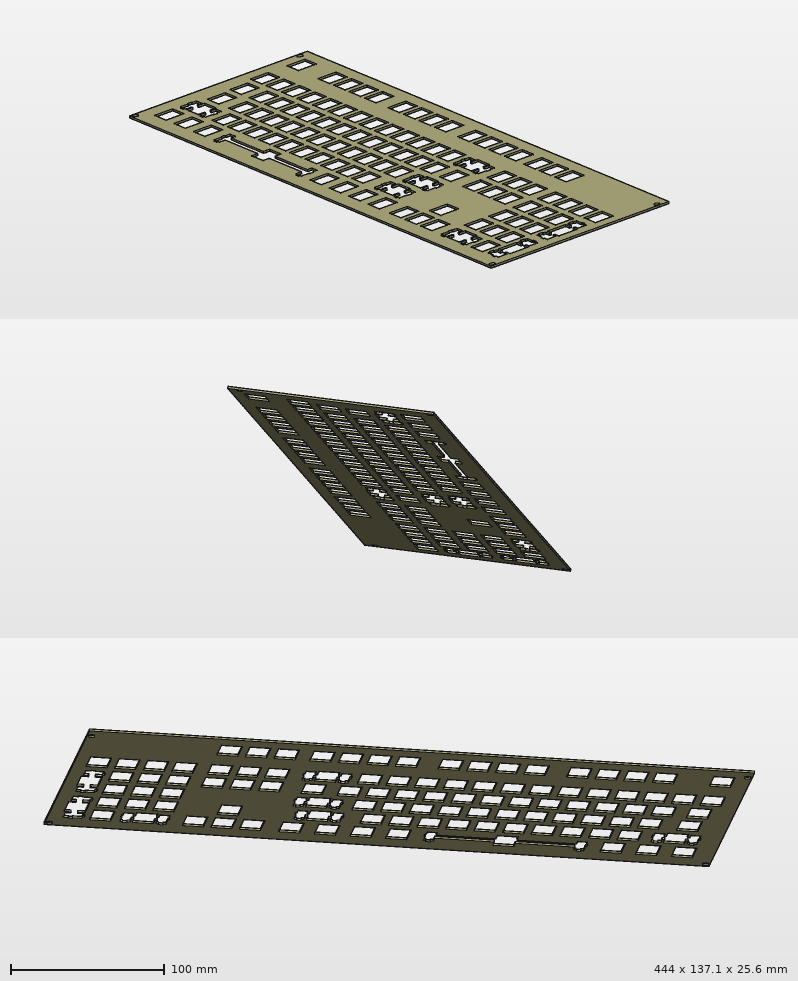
import cadquery as cq

PLATE_WIDTH = 444.0
PLATE_DEPTH = 139.0
PLATE_THICKNESS = 1.5
TILT_ANGLE = 10.0
CUTTER_HEIGHT = 2 * PLATE_THICKNESS

KEY_FIELD_WIDTH = 428.7
KEY_FIELD_UNITS_X = 22.5
KEY_FIELD_UNITS_Y = 6.5
KEY_SHIFT_X = 1.1
KEY_SHIFT_Y = 1.05
KEY_UNIT = KEY_FIELD_WIDTH / KEY_FIELD_UNITS_X
KEY_BORDER = 2.55
SWITCH_HOLE = KEY_UNIT - 2 * KEY_BORDER

STABILISER_WIDTH = 6.5
STABILISER_TOP = 5.8
STABILISER_BOTTOM = -6.5
WIRE_NOTCH_WIDTH = 3.0
WIRE_NOTCH_DEPTH = 1.2
CLIP_NOTCH_HEIGHT = 2.8
CLIP_NOTCH_DEPTH = 0.85
CLIP_NOTCH_CENTRE = 1.0
LINK_SLOT_HEIGHT = 4.5
WIDE_KEY_REACH = 12.0
SPACE_BAR_REACH = 50.0

SCREW_HOLE_DIAMETER = 4.0
SCREW_INSET = 2.97
SCREW_BACK_INSET = 7.5

FUNCTION_ROW = 0.5
NUMBER_ROW = 2.0
TAB_ROW = 3.0
HOME_ROW = 4.0
SHIFT_ROW = 5.0
SPACE_ROW = 6.0

MAIN_BLOCK = 15
BLOCK_GAP = 1 / 4
MODIFIER = 5 / 4
TAB = 3 / 2
CAPS_LOCK = 7 / 4
LEFT_SHIFT = 9 / 4
RIGHT_SHIFT = 11 / 4
ENTER = 9 / 4
BACKSPACE = 2


def run(left, count, width=1):
    """Column centres of a run of neighbouring keys that starts at a left edge."""
    return [left + (i + 1 / 2) * width for i in range(count)]


NAVIGATION = run(MAIN_BLOCK + BLOCK_GAP, 3)
NUMPAD = run(MAIN_BLOCK + 3 + 2 * BLOCK_GAP, 3)
LAST_COLUMN = NUMPAD[2] + 1
RIGHT_MODIFIERS = MAIN_BLOCK - 4 * MODIFIER
SPACE_BAR_COLUMN = (3 * MODIFIER + RIGHT_MODIFIERS) / 2

PLAIN_KEYS = {
    FUNCTION_ROW: run(0, 1) + run(2, 4) + run(6.5, 4) + run(11, 4) + NAVIGATION,
    NUMBER_ROW: run(0, 13) + NAVIGATION + NUMPAD + [LAST_COLUMN],
    TAB_ROW: run(0, 1, TAB) + run(TAB, 12) + run(TAB + 12, 1, TAB) + NAVIGATION + NUMPAD,
    HOME_ROW: run(0, 1, CAPS_LOCK) + run(CAPS_LOCK, 11) + NUMPAD,
    SHIFT_ROW: run(LEFT_SHIFT, 10) + [NAVIGATION[1]] + NUMPAD,
    SPACE_ROW: run(0, 3, MODIFIER) + run(RIGHT_MODIFIERS, 4, MODIFIER) + NAVIGATION + [NUMPAD[2]],
}

STABILISED_KEYS = [
    (MAIN_BLOCK - BACKSPACE / 2, NUMBER_ROW, WIDE_KEY_REACH, 0),
    (MAIN_BLOCK - ENTER / 2, HOME_ROW, WIDE_KEY_REACH, 0),
    (LEFT_SHIFT / 2, SHIFT_ROW, WIDE_KEY_REACH, 0),
    (MAIN_BLOCK - RIGHT_SHIFT / 2, SHIFT_ROW, WIDE_KEY_REACH, 0),
    (SPACE_BAR_COLUMN, SPACE_ROW, SPACE_BAR_REACH, 0),
    ((NUMPAD[0] + NUMPAD[1]) / 2, SPACE_ROW, WIDE_KEY_REACH, 0),
    (LAST_COLUMN, (TAB_ROW + HOME_ROW) / 2, WIDE_KEY_REACH, -90),
    (LAST_COLUMN, (SHIFT_ROW + SPACE_ROW) / 2, WIDE_KEY_REACH, -90),
]


def key_position(column, row):
    """Plate coordinates of a key centre given in key units."""
    x = (column - KEY_FIELD_UNITS_X / 2) * KEY_UNIT + KEY_SHIFT_X
    y = (KEY_FIELD_UNITS_Y / 2 - row) * KEY_UNIT + KEY_SHIFT_Y
    return x, y


def block(x_min, x_max, y_min, y_max):
    """Cutting block that passes through the plate."""
    centre = ((x_min + x_max) / 2, (y_min + y_max) / 2, 0)
    return cq.Workplane("XY").box(x_max - x_min, y_max - y_min, CUTTER_HEIGHT).translate(centre)


def stabilised_key_cutter(reach):
    """Switch hole joined by a slot to a notched stabiliser opening on either side."""
    half_hole = SWITCH_HOLE / 2
    half_slot = LINK_SLOT_HEIGHT / 2
    cutter = block(-half_hole, half_hole, -half_hole, half_hole)
    cutter = cutter.union(block(-reach, reach, -half_slot, half_slot))

    inner = reach - STABILISER_WIDTH / 2
    outer = reach + STABILISER_WIDTH / 2
    half_wire = WIRE_NOTCH_WIDTH / 2
    clip_bottom = CLIP_NOTCH_CENTRE - CLIP_NOTCH_HEIGHT / 2
    clip_top = CLIP_NOTCH_CENTRE + CLIP_NOTCH_HEIGHT / 2
    opening = block(inner, outer, STABILISER_BOTTOM, STABILISER_TOP)
    wire_bottom = STABILISER_BOTTOM - WIRE_NOTCH_DEPTH
    wire_notch = block(reach - half_wire, reach + half_wire, wire_bottom, STABILISER_TOP)
    clip_notch = block(reach, outer + CLIP_NOTCH_DEPTH, clip_bottom, clip_top)
    opening = opening.union(wire_notch).union(clip_notch)
    return cutter.union(opening).union(opening.mirror("YZ"))


def cut_plain_keys(plate):
    positions = [key_position(column, row) for row, columns in PLAIN_KEYS.items() for column in columns]
    holes = cq.Workplane("XY").pushPoints(positions).box(SWITCH_HOLE, SWITCH_HOLE, CUTTER_HEIGHT)
    return plate.cut(holes)


def cut_stabilised_keys(plate):
    for column, row, reach, turn in STABILISED_KEYS:
        x, y = key_position(column, row)
        cutter = stabilised_key_cutter(reach).rotate((0, 0, 0), (0, 0, 1), turn)
        plate = plate.cut(cutter.translate((x, y, 0)))
    return plate


def cut_screw_holes(plate):
    side = PLATE_WIDTH / 2 - SCREW_INSET
    back = PLATE_DEPTH / 2 - SCREW_BACK_INSET
    front = SCREW_INSET - PLATE_DEPTH / 2
    positions = [(x, y) for x in (-side, side) for y in (back, front)]
    holes = cq.Workplane("XY").pushPoints(positions).circle(SCREW_HOLE_DIAMETER / 2)
    return plate.cut(holes.extrude(PLATE_THICKNESS, both=True))


flat_plate = cq.Workplane("XY").box(PLATE_WIDTH, PLATE_DEPTH, PLATE_THICKNESS)
flat_plate = cut_plain_keys(flat_plate)
flat_plate = cut_stabilised_keys(flat_plate)
flat_plate = cut_screw_holes(flat_plate)

result = flat_plate.rotate((0, 0, 0), (1, 0, 0), TILT_ANGLE)